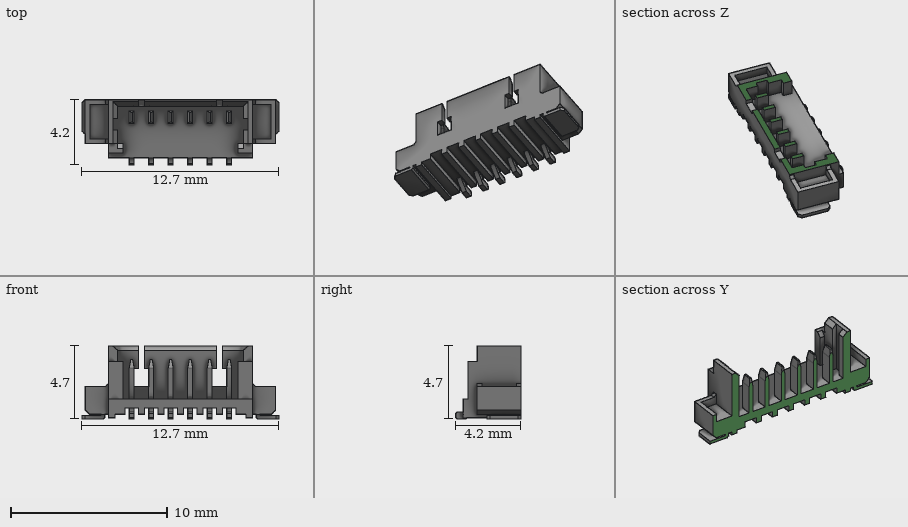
import cadquery as cq


PIN_COUNT = 6
PITCH = 1.25
PIN_WIDTH = 0.32
PIN_BACK = -0.72
PIN_DEPTH = 0.8
PIN_TOP = 3.82
PIN_TAPER_START = 3.27
PIN_TIP_INSET = 0.1
LEAD_TIP = -4.2
LEAD_THICKNESS = 0.47
LEAD_TIP_CHAMFER = 0.11
LEAD_BEND = -3.55
LEAD_RISE = 0.4

HOUSING_LENGTH = 9.25
BASE_DEPTH = 3.72
BASE_BOTTOM = 0.3
BASE_TOP = 1.3
HOUSING_TOP = 4.7
BACK_WALL = 0.42
SIDE_WALL = 0.6
SIDE_WALL_DEPTH = 2.82
MOUTH_CHAMFER = 0.3
GROOVE_BACK = -1.22
GROOVE_WIDTH = 0.72
GROOVE_DEPTH = MOUTH_CHAMFER
POST_WIDTH = 0.95
POST_FRONT = -3.42
POST_TOP = 3.7
POST_CHAMFER = 0.3

SLOT_X = 2 * PITCH
SLOT_WIDTH = 0.37
WINDOW_WIDTH = 1.0
WINDOW_BOTTOM = 2.1
WINDOW_TOP = 3.24

RELIEF_WIDTH = 0.85
RELIEF_TOP = 0.7
FOOT_WIDTH = 0.43
FOOT_BOTTOM = 0.08

WING_LENGTH = 1.48
WING_TOP = 2.1
WING_WALL = 0.31
WING_FLOOR = 1.55
WING_CHAMFER = 0.28
GUSSET = 0.18

OVERALL_LENGTH = 12.65
TAB_INNER = 4.85
TAB_DEPTH = 2.2
TAB_THICKNESS = 0.24
TAB_CORNER = 0.2
TAB_OUTER_BEND = 0.11
TAB_INNER_BEND = 0.06

HALF_LENGTH = HOUSING_LENGTH / 2
TAB_END = OVERALL_LENGTH / 2
CAVITY_HALF = HALF_LENGTH - SIDE_WALL
WING_END = HALF_LENGTH + WING_LENGTH
PIN_POSITIONS = [(i - (PIN_COUNT - 1) / 2) * PITCH for i in range(PIN_COUNT)]


def block(x0, x1, y0, y1, z0, z1):
    """Box spanning the given limits on each axis."""
    return cq.Workplane("XY").box(x1 - x0, y1 - y0, z1 - z0, centered=False).translate((x0, y0, z0))


def both_ends(solid):
    """The +X end feature together with its mirror image at -X."""
    return solid.union(solid.mirror("YZ"))


def extrude_along_y(points, y_back, y_front):
    """Prism of an XZ outline between two Y positions."""
    return cq.Workplane("XZ", origin=(0, y_back, 0)).polyline(points).close().extrude(y_back - y_front)


def extrude_along_x(points, x_start, width):
    """Prism of a YZ outline starting at x_start."""
    return cq.Workplane("YZ", origin=(x_start, 0, 0)).polyline(points).close().extrude(width)


def make_base():
    base = block(-HALF_LENGTH, HALF_LENGTH, -BASE_DEPTH, 0, BASE_BOTTOM, BASE_TOP)
    foot = block(HALF_LENGTH - FOOT_WIDTH, HALF_LENGTH, -BASE_DEPTH, 0, FOOT_BOTTOM, BASE_BOTTOM)
    base = base.union(both_ends(foot))
    for x in PIN_POSITIONS:
        relief = block(
            x - RELIEF_WIDTH / 2, x + RELIEF_WIDTH / 2, -BASE_DEPTH, 0, BASE_BOTTOM, RELIEF_TOP
        )
        base = base.cut(relief)
    return base


def make_mouth_bevel():
    """Flared cutter that bevels the inner top edges of the back and side walls."""
    bevel_bottom = HOUSING_TOP - MOUTH_CHAMFER
    half_top = CAVITY_HALF + MOUTH_CHAMFER
    sides = extrude_along_y(
        [
            (-CAVITY_HALF, bevel_bottom),
            (CAVITY_HALF, bevel_bottom),
            (half_top, HOUSING_TOP),
            (-half_top, HOUSING_TOP),
        ],
        0,
        -SIDE_WALL_DEPTH,
    )
    back = extrude_along_x(
        [
            (-SIDE_WALL_DEPTH, bevel_bottom),
            (-BACK_WALL, bevel_bottom),
            (-BACK_WALL + MOUTH_CHAMFER, HOUSING_TOP),
            (-SIDE_WALL_DEPTH, HOUSING_TOP),
        ],
        -half_top,
        2 * half_top,
    )
    return sides.intersect(back)


def make_walls():
    walls = block(-HALF_LENGTH, HALF_LENGTH, -SIDE_WALL_DEPTH, 0, BASE_TOP, HOUSING_TOP)
    cavity = block(-CAVITY_HALF, CAVITY_HALF, -SIDE_WALL_DEPTH, -BACK_WALL, BASE_TOP, HOUSING_TOP)
    groove_half = CAVITY_HALF + GROOVE_DEPTH
    grooves = block(
        -groove_half, groove_half, GROOVE_BACK - GROOVE_WIDTH, GROOVE_BACK, BASE_TOP, HOUSING_TOP
    )
    walls = walls.cut(cavity).cut(grooves).cut(make_mouth_bevel())
    for x in (-SLOT_X, SLOT_X):
        slot = block(x - SLOT_WIDTH / 2, x + SLOT_WIDTH / 2, -BACK_WALL, 0, WINDOW_TOP, HOUSING_TOP)
        window = block(
            x - WINDOW_WIDTH / 2, x + WINDOW_WIDTH / 2, -BACK_WALL, 0, WINDOW_BOTTOM, WINDOW_TOP
        )
        walls = walls.cut(slot).cut(window)
    return walls


def make_posts():
    """Front posts, bevelled on the back edge of the part inside the cavity."""
    inner = HALF_LENGTH - POST_WIDTH
    post = block(inner, HALF_LENGTH, POST_FRONT, -SIDE_WALL_DEPTH, BASE_TOP, POST_TOP)
    bevel = extrude_along_x(
        [
            (-SIDE_WALL_DEPTH, POST_TOP),
            (-SIDE_WALL_DEPTH - POST_CHAMFER, POST_TOP),
            (-SIDE_WALL_DEPTH, POST_TOP - POST_CHAMFER),
        ],
        inner,
        POST_WIDTH - SIDE_WALL,
    )
    return both_ends(post.cut(bevel))


def make_wings():
    """Open-topped end boxes with small gussets where they meet the housing."""
    wing = extrude_along_y(
        [
            (HALF_LENGTH, BASE_BOTTOM),
            (WING_END - WING_CHAMFER, BASE_BOTTOM),
            (WING_END, BASE_BOTTOM + WING_CHAMFER),
            (WING_END, WING_TOP),
            (HALF_LENGTH + GUSSET, WING_TOP),
            (HALF_LENGTH, WING_TOP + GUSSET),
        ],
        0,
        -SIDE_WALL_DEPTH,
    )
    pocket = block(
        HALF_LENGTH,
        WING_END - WING_WALL,
        -SIDE_WALL_DEPTH + WING_WALL,
        -WING_WALL,
        WING_FLOOR,
        WING_TOP + GUSSET,
    )
    return both_ends(wing.cut(pocket))


def make_tabs():
    """L-shaped solder tabs hanging from the wing floors."""
    riser_outer = TAB_INNER + TAB_THICKNESS
    tab = extrude_along_y(
        [
            (TAB_INNER, BASE_BOTTOM),
            (TAB_INNER, TAB_OUTER_BEND),
            (TAB_INNER + TAB_OUTER_BEND, 0),
            (TAB_END, 0),
            (TAB_END, TAB_THICKNESS),
            (riser_outer + TAB_INNER_BEND, TAB_THICKNESS),
            (riser_outer, BASE_BOTTOM),
        ],
        0,
        -TAB_DEPTH,
    )
    tab = tab.edges("|Z and >X").chamfer(TAB_CORNER)
    return both_ends(tab)


def make_contact(x):
    """Blade pin with a tapered tip, and the solder lead that bends up into the base."""
    pin_y = PIN_BACK - PIN_DEPTH / 2
    blade = block(
        x - PIN_WIDTH / 2, x + PIN_WIDTH / 2, PIN_BACK - PIN_DEPTH, PIN_BACK, BASE_TOP, PIN_TAPER_START
    )
    tip = (
        cq.Workplane("XY", origin=(x, pin_y, PIN_TAPER_START))
        .rect(PIN_WIDTH, PIN_DEPTH)
        .workplane(offset=PIN_TOP - PIN_TAPER_START)
        .rect(PIN_WIDTH - 2 * PIN_TIP_INSET, PIN_DEPTH - 2 * PIN_TIP_INSET)
        .loft()
    )
    lead_high = LEAD_THICKNESS + LEAD_RISE
    lead = extrude_along_x(
        [
            (LEAD_TIP + LEAD_TIP_CHAMFER, 0),
            (LEAD_BEND, 0),
            (LEAD_BEND + lead_high, lead_high),
            (LEAD_BEND + LEAD_RISE, lead_high),
            (LEAD_BEND, LEAD_THICKNESS),
            (LEAD_TIP + LEAD_TIP_CHAMFER, LEAD_THICKNESS),
            (LEAD_TIP, LEAD_THICKNESS - LEAD_TIP_CHAMFER),
            (LEAD_TIP, LEAD_TIP_CHAMFER),
        ],
        x - PIN_WIDTH / 2,
        PIN_WIDTH,
    )
    return blade.union(tip).union(lead)


result = make_base().union(make_walls()).union(make_posts()).union(make_wings()).union(make_tabs())
for pin_x in PIN_POSITIONS:
    result = result.union(make_contact(pin_x))